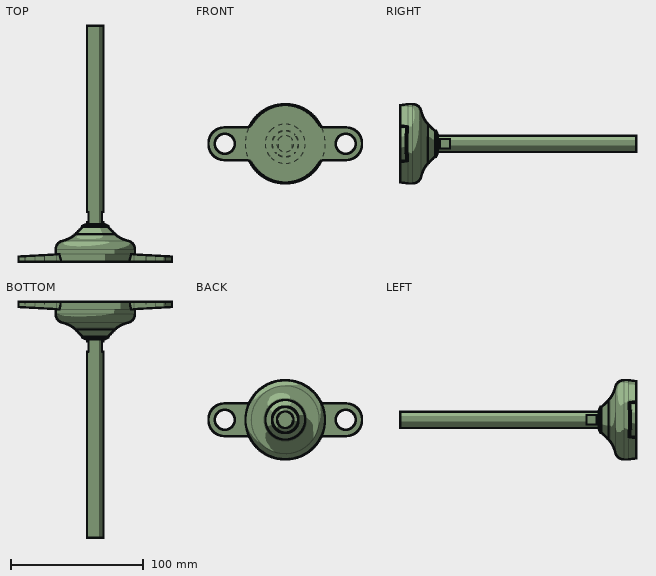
import cadquery as cq
import math

FOOT_BOTTOM_RADIUS = 29.2
FOOT_RADIUS = 30.0
DRAFT_HEIGHT = 5.9
RIM_HEIGHT = 9.3
SHOULDER_RADIUS = 25.6
SHOULDER_HEIGHT = 15.7
NECK_RADIUS = 16.0
NECK_HEIGHT = 20.0
NECK_SAG = 0.5

LUG_OFFSET = 45.5
LUG_RADIUS = 12.5
LUG_HOLE_DIAMETER = 15.0
LUG_BLEND_RADIUS = 5.0
LUG_TIP_THICKNESS = 4.1
LUG_ROOT_THICKNESS = 5.7

SPLIT_HEIGHT = 21.0
CAP_RADIUS = 9.6
CAP_HEIGHT = 26.3
COLLAR_RADIUS = 10.1
COLLAR_HEIGHT = 26.9
ROD_RADIUS = 6.2
FLARE_TOP = 28.7
FLAT_BOTTOM = 29.9
FLAT_TOP = 37.5
FLAT_SPACING = 10.3
TOTAL_HEIGHT = 178.0

CONE_SLOPE = (NECK_RADIUS - CAP_RADIUS) / (CAP_HEIGHT - NECK_HEIGHT)
SPLIT_RADIUS = NECK_RADIUS - CONE_SLOPE * (SPLIT_HEIGHT - NECK_HEIGHT)


def revolve_about_y(profile):
    return profile.close().revolve(360, (0, 0, 0), (0, 1, 0))


def make_foot():
    inset = FOOT_RADIUS - SHOULDER_RADIUS
    rise = SHOULDER_HEIGHT - RIM_HEIGHT
    shoulder_arc = (inset**2 + rise**2) / (2 * inset)
    half_angle = math.atan2(rise, shoulder_arc - inset) / 2
    shoulder_middle = (
        FOOT_RADIUS - shoulder_arc * (1 - math.cos(half_angle)),
        RIM_HEIGHT + shoulder_arc * math.sin(half_angle),
    )
    run = SHOULDER_RADIUS - NECK_RADIUS
    climb = NECK_HEIGHT - SHOULDER_HEIGHT
    chord = math.hypot(run, climb)
    neck_middle = (
        (SHOULDER_RADIUS + NECK_RADIUS) / 2 - NECK_SAG * climb / chord,
        (SHOULDER_HEIGHT + NECK_HEIGHT) / 2 - NECK_SAG * run / chord,
    )
    profile = (
        cq.Workplane("XY")
        .lineTo(FOOT_BOTTOM_RADIUS, 0)
        .lineTo(FOOT_RADIUS, DRAFT_HEIGHT)
        .lineTo(FOOT_RADIUS, RIM_HEIGHT)
        .threePointArc(shoulder_middle, (SHOULDER_RADIUS, SHOULDER_HEIGHT))
        .threePointArc(neck_middle, (NECK_RADIUS, NECK_HEIGHT))
        .lineTo(SPLIT_RADIUS, SPLIT_HEIGHT)
        .lineTo(0, SPLIT_HEIGHT)
    )
    return revolve_about_y(profile)


def make_lug(side):
    """One lug with blended root; side is +1 toward +X and -1 toward -X."""
    center_z = LUG_RADIUS + LUG_BLEND_RADIUS
    center_distance = FOOT_BOTTOM_RADIUS + LUG_BLEND_RADIUS
    center_x = math.sqrt(center_distance**2 - center_z**2)
    root_x = center_x * FOOT_BOTTOM_RADIUS / center_distance
    root_z = center_z * FOOT_BOTTOM_RADIUS / center_distance
    middle_angle = (math.atan2(center_z, center_x) + math.pi / 2) / 2
    middle_x = center_x - LUG_BLEND_RADIUS * math.cos(middle_angle)
    middle_z = center_z - LUG_BLEND_RADIUS * math.sin(middle_angle)

    plate = (
        cq.Workplane("XZ")
        .moveTo(0, root_z)
        .lineTo(side * root_x, root_z)
        .threePointArc((side * middle_x, middle_z), (side * center_x, LUG_RADIUS))
        .lineTo(side * LUG_OFFSET, LUG_RADIUS)
        .threePointArc((side * (LUG_OFFSET + LUG_RADIUS), 0), (side * LUG_OFFSET, -LUG_RADIUS))
        .lineTo(side * center_x, -LUG_RADIUS)
        .threePointArc((side * middle_x, -middle_z), (side * root_x, -root_z))
        .lineTo(0, -root_z)
        .close()
        .extrude(-RIM_HEIGHT)
    )
    tip_x = LUG_OFFSET + LUG_RADIUS
    slope = (LUG_ROOT_THICKNESS - LUG_TIP_THICKNESS) / (tip_x - FOOT_BOTTOM_RADIUS)
    axis_thickness = LUG_TIP_THICKNESS + slope * tip_x
    wedge = (
        cq.Workplane("XY")
        .lineTo(side * tip_x, 0)
        .lineTo(side * tip_x, LUG_TIP_THICKNESS)
        .lineTo(0, axis_thickness)
        .close()
        .extrude(FOOT_RADIUS, both=True)
    )
    hole = (
        cq.Workplane("XZ")
        .center(side * LUG_OFFSET, 0)
        .circle(LUG_HOLE_DIAMETER / 2)
        .extrude(-RIM_HEIGHT)
    )
    return plate.intersect(wedge).cut(hole)


def make_base():
    base = make_foot()
    for side in (-1, 1):
        base = base.union(make_lug(side))
    return base


def make_stem():
    profile = (
        cq.Workplane("XY")
        .moveTo(0, SPLIT_HEIGHT)
        .lineTo(SPLIT_RADIUS, SPLIT_HEIGHT)
        .lineTo(CAP_RADIUS, CAP_HEIGHT)
        .lineTo(COLLAR_RADIUS, COLLAR_HEIGHT)
        .lineTo(ROD_RADIUS, FLARE_TOP)
        .lineTo(ROD_RADIUS, TOTAL_HEIGHT)
        .lineTo(0, TOTAL_HEIGHT)
    )
    stem = revolve_about_y(profile)
    flat_depth = ROD_RADIUS - FLAT_SPACING / 2
    for side in (-1, 1):
        flat_cut = cq.Workplane("XY").box(
            flat_depth, FLAT_TOP - FLAT_BOTTOM, 2 * ROD_RADIUS
        ).translate((side * (ROD_RADIUS - flat_depth / 2), (FLAT_BOTTOM + FLAT_TOP) / 2, 0))
        stem = stem.cut(flat_cut)
    return stem


base = make_base()
stem = make_stem()
result = cq.Compound.makeCompound([base.val(), stem.val()])